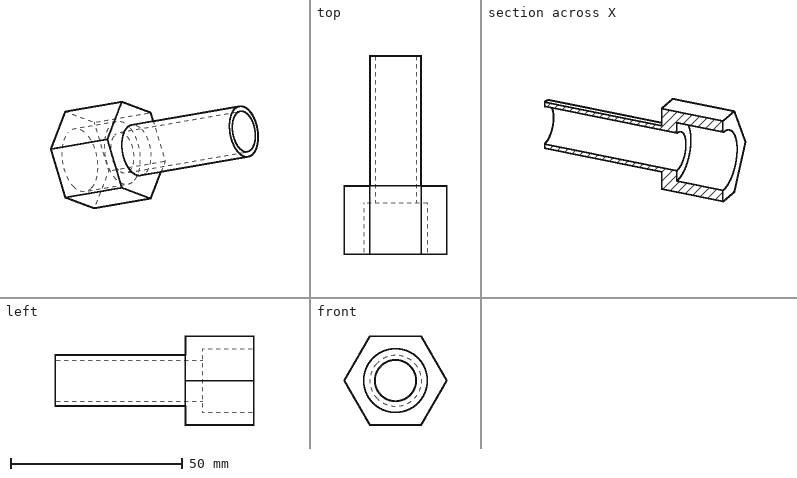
import cadquery as cq
import math

HEX_SIDES = 6
HEX_ACROSS_FLATS = 26.0
HEX_LENGTH = 20.0
HEX_ACROSS_CORNERS = HEX_ACROSS_FLATS / math.cos(math.pi / HEX_SIDES)

TUBE_DIAMETER = 15.0
OVERALL_LENGTH = 58.0

BORE_DIAMETER = 12.0
SOCKET_DIAMETER = 18.63
SOCKET_DEPTH = 15.0


def end_plane():
    """Plane of the front face, with its normal along +Y."""
    return cq.Workplane(cq.Plane(origin=(0, 0, 0), xDir=(1, 0, 0), normal=(0, 1, 0)))


def rod(diameter, length):
    """Solid cylinder running from the front face along +Y."""
    return end_plane().circle(diameter / 2).extrude(length)


def hex_head():
    """Hexagonal prism with corners on +X and -X, flats on top and bottom."""
    return end_plane().polygon(HEX_SIDES, HEX_ACROSS_CORNERS).extrude(HEX_LENGTH)


body = hex_head().union(rod(TUBE_DIAMETER, OVERALL_LENGTH))
through_bore = rod(BORE_DIAMETER, OVERALL_LENGTH)
socket = rod(SOCKET_DIAMETER, SOCKET_DEPTH)

result = body.cut(through_bore).cut(socket)